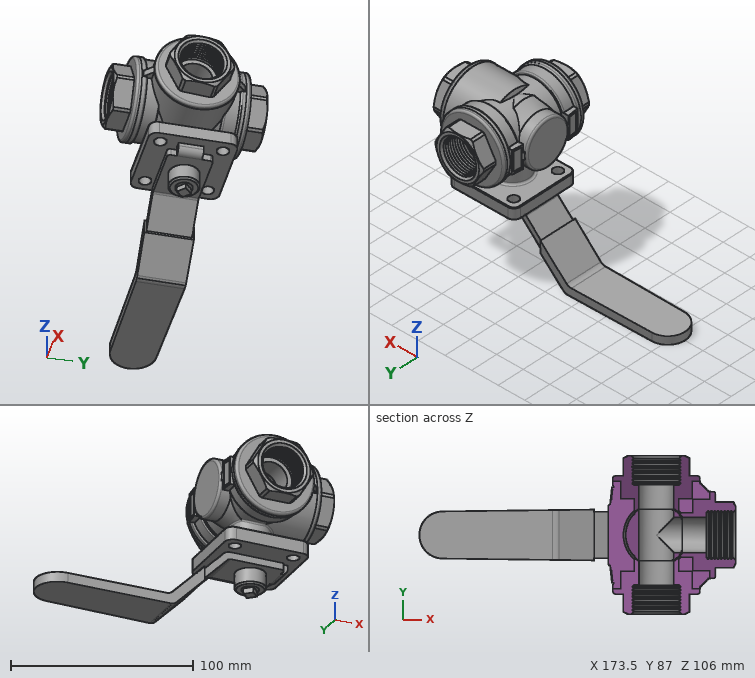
import cadquery as cq
import math


port_angles = (0, 90, -90)
port_reach = 43.5
flange_radius = 24.0
cap_seat = 29.5
cap_flange_end = 32.5
cap_flange_round = 1.5
branch_cap_twist = -4.2
hex_across_flats = 32.5
hex_turned_radius = 18.2
hex_face_radius = 15.9
hex_chamfer_length = 1.3
spigot_radius = 19.5
spigot_start = 20.0
nose_radius = 12.0
flow_radius = 9.5
thread_minor_radius = 12.25
thread_major_radius = 13.25
thread_mouth_radius = 13.8
thread_pitch = 1.814
thread_turns = 8

barrel_radius = 21.0
collar_radius = 23.0
collar_start = 18.0
collar_round = 0.9
body_flange_start = 26.3
body_flange_round = 1.1
branch_radius = 23.85
branch_start = -1.5
branch_slope = 1.2
boss_radius = 17.0
boss_face = -26.5
boss_round = 1.5
boss_cone_start = -18.4
boss_cone_end = -8.6
boss_root_radius = 20.85
web_thickness = 4.0
web_inner = 18.0
web_low = 23.7
web_high = 28.9
label_height = 16.8
label_outer_x = -24.1
label_inner_x = -25.3
label_panel_height = 14.0
label_panel_margin = 1.3
label_panel_depth = 0.4
label_root_x = -18.0
label_link_height = 5.0
label_link_end = 15.5

neck_radius = 12.0
neck_foot_fillet = 1.5
neck_root_fillet = 1.0
pad_size = 50.0
pad_top = -32.9
pad_bottom = -41.0
pad_corner_radius = 4.8
pad_edge_chamfer = 0.5
bolt_circle_diameter = 50.0
bolt_hole_diameter = 7.0
bolt_count = 4

ball_radius = 17.0
ball_clearance = 1.0
stem_radius = 6.5
stem_thread_radius = 4.9
stem_top = -14.0
stem_square = 5.85
stem_tip = -59.7

nut_radius = 8.75
nut_bottom = -56.4
nut_chamfer = 1.0

lever_top = -42.8
lever_thickness = 4.2
lever_bottom = lever_top - lever_thickness
lever_width = 25.7
lever_front = 15.0
lever_corner_radius = 1.8
lever_bend_x = -20.6
lever_bend_radius = 2.0
stop_thickness = lever_thickness
stop_left = -7.7
stop_right = 6.5
stop_bend_radius = 4.0
grip_thickness = 6.0
grip_cover = (grip_thickness - lever_thickness) / 2
grip_bottom = -82.0
grip_top = grip_bottom + grip_thickness
grip_mouth = -34.2
grip_mouth_width = 28.0
grip_tip = -130.0
grip_tip_radius = 13.0
grip_bend_radius = 5.0


def revolve_about_x(profile):
    """Full turn about X of a workplane outline drawn as (x, radius)."""
    return profile.close().revolve(360, (0, 0, 0), (1, 0, 0))


def rod(radius, start, end):
    """Cylinder along X."""
    return cq.Workplane("YZ").workplane(offset=start).circle(radius).extrude(end - start)


def post(radius, bottom, top):
    """Cylinder along Z."""
    return cq.Workplane("XY").workplane(offset=bottom).circle(radius).extrude(top - bottom)


def turned_to(shape, angle):
    return shape.rotate((0, 0, 0), (0, 0, 1), angle)


ball_space = cq.Workplane("XY").sphere(ball_radius)


def make_cap():
    """Cap on the +X port: flange, hex, spigot, seat nose and threaded mouth."""
    flange = rod(flange_radius, cap_seat, cap_flange_end).faces(">X").edges().fillet(cap_flange_round)
    hexagon = (
        cq.Workplane("YZ").workplane(offset=cap_flange_end)
        .polygon(6, hex_across_flats / math.cos(math.pi / 6))
        .extrude(port_reach - cap_flange_end)
    )
    turned = revolve_about_x(
        cq.Workplane("XY").moveTo(cap_flange_end, 0)
        .lineTo(cap_flange_end, hex_turned_radius)
        .lineTo(port_reach - hex_chamfer_length, hex_turned_radius)
        .lineTo(port_reach, hex_face_radius)
        .lineTo(port_reach, 0)
    )
    cap = flange.union(hexagon.intersect(turned))
    return cap.cut(rod(flow_radius, cap_seat, port_reach)).union(make_insert()).cut(thread_bore())


def make_insert():
    """Spigot and nose inside the body; the nose ends in a seat that fits the ball."""
    def ball_x(radius):
        return math.sqrt(ball_radius**2 - radius**2)

    return revolve_about_x(
        cq.Workplane("XY").moveTo(cap_seat, flow_radius)
        .lineTo(cap_seat, spigot_radius)
        .lineTo(spigot_start, spigot_radius)
        .lineTo(spigot_start, nose_radius)
        .lineTo(ball_x(nose_radius), nose_radius)
        .radiusArc((ball_x(flow_radius), flow_radius), ball_radius)
    )


def thread_bore():
    """Threaded mouth with ring-shaped V grooves and a countersunk entry."""
    entry = thread_mouth_radius - thread_minor_radius
    bottom = port_reach - entry - thread_turns * thread_pitch
    outline = cq.Workplane("XY").moveTo(bottom, 0).lineTo(bottom, thread_minor_radius)
    for turn in range(thread_turns):
        root = bottom + (turn + 0.5) * thread_pitch
        outline = outline.lineTo(root, thread_major_radius)
        outline = outline.lineTo(root + thread_pitch / 2, thread_minor_radius)
    outline = outline.lineTo(port_reach, thread_mouth_radius).lineTo(port_reach, 0)
    return revolve_about_x(outline)


def make_side_port():
    """Collar and flange that carry one of the Y caps, drawn along +X."""
    collar = rod(collar_radius, collar_start, cap_seat).faces("<X").edges().fillet(collar_round)
    flange = (
        rod(flange_radius, body_flange_start, cap_seat)
        .faces("<X").edges().fillet(body_flange_round)
    )
    return rod(barrel_radius, 0, cap_seat).union(collar).union(flange)


def make_branch():
    """Wide branch of the +X port, sloped where it rises out of the barrel."""
    return revolve_about_x(
        cq.Workplane("XY").moveTo(branch_start - branch_slope, 0)
        .lineTo(branch_start - branch_slope, boss_root_radius)
        .lineTo(branch_start, branch_radius)
        .lineTo(cap_seat, branch_radius)
        .lineTo(cap_seat, 0)
    )


def make_boss():
    """Closed boss on the -X side, widening toward the barrel."""
    return revolve_about_x(
        cq.Workplane("XY").moveTo(boss_face, 0)
        .lineTo(boss_face, boss_radius - boss_round)
        .radiusArc((boss_face + boss_round, boss_radius), boss_round)
        .lineTo(boss_cone_start, boss_radius)
        .lineTo(boss_cone_end, boss_root_radius)
        .lineTo(0, boss_root_radius)
        .lineTo(0, 0)
    )


def upright_plate(points, height):
    """XY outline extruded evenly to both sides of Z = 0."""
    return cq.Workplane("XY").polyline(points).close().extrude(height / 2, both=True)


def make_web():
    """Web in the corner between the +X and +Y flanges."""
    return upright_plate(
        [(web_inner, web_inner), (web_low, web_high), (web_high, web_low)], web_thickness
    )


def make_label():
    """Slanted label pad beside the boss on the +Y side, linked to the boss by a short rib."""
    slope = (label_inner_x - label_outer_x) / (cap_seat - collar_start)

    def face_x(y):
        return label_outer_x + slope * (cap_seat - y)

    def slab(y_from, y_to, depth_from, depth_to, height):
        points = [
            (face_x(y_from) + depth_from, y_from),
            (face_x(y_to) + depth_from, y_to),
            (face_x(y_to) + depth_to, y_to),
            (face_x(y_from) + depth_to, y_from),
        ]
        return upright_plate(points, height)

    pad_depth = label_root_x - label_outer_x
    pad = slab(body_flange_start, collar_start, 0, pad_depth, label_height)
    link = slab(collar_start, label_link_end, 0, pad_depth, label_link_height)
    panel = slab(
        body_flange_start - label_panel_margin, collar_start + label_panel_margin,
        -label_panel_depth, label_panel_depth, label_panel_height,
    )
    return pad.union(link).cut(panel)


def make_stem_pad():
    """Square bolting pad with four holes, and the neck that carries it."""
    pad = (
        cq.Workplane("XY").workplane(offset=pad_bottom)
        .rect(pad_size, pad_size).extrude(pad_top - pad_bottom)
        .edges("|Z").fillet(pad_corner_radius)
        .faces(">Z").edges().chamfer(pad_edge_chamfer)
    )
    holes = (
        cq.Workplane("XY").workplane(offset=pad_bottom)
        .polarArray(bolt_circle_diameter / 2, 180 / bolt_count, 360, bolt_count)
        .circle(bolt_hole_diameter / 2).extrude(pad_top - pad_bottom)
    )
    neck = post(neck_radius, pad_top, 0)
    largest_circle = cq.selectors.RadiusNthSelector(-1)
    foot = pad.union(neck).faces("|Z").edges("%CIRCLE").edges(largest_circle)
    return foot.fillet(neck_foot_fillet).cut(holes)


def neck_root_zone():
    """Selector for the seam where the neck meets the barrel, branch and boss."""
    reach = neck_radius + neck_root_fillet
    return cq.selectors.BoxSelector((-reach, -reach, -flange_radius), (reach, reach, -boss_radius), True)


def make_body():
    body = make_branch().union(make_boss())
    for angle in (90, -90):
        body = body.union(turned_to(make_side_port(), angle))
    web = make_web()
    label = make_label()
    for feature in (web, label):
        body = body.union(feature).union(feature.mirror("XZ"))
    body = body.union(make_stem_pad())
    body = body.edges(neck_root_zone()).fillet(neck_root_fillet)
    body = body.cut(cq.Workplane("XY").sphere(ball_radius + ball_clearance))
    for angle in port_angles:
        body = body.cut(turned_to(rod(nose_radius, 0, spigot_start), angle))
        body = body.cut(turned_to(rod(spigot_radius, spigot_start, cap_seat), angle))
    return body.cut(post(stem_radius, pad_bottom, 0))


def make_ball():
    """Ball with a straight bore along Y and a side bore toward +X."""
    through = turned_to(rod(flow_radius, -ball_radius, ball_radius), 90)
    return ball_space.cut(through).cut(rod(flow_radius, 0, ball_radius))


def make_stem():
    """Stem from the ball down through lever and nut, ending in a square set cornerwise."""
    square = (
        cq.Workplane("XY").workplane(offset=stem_tip)
        .polygon(4, stem_square * math.sqrt(2)).extrude(nut_bottom - stem_tip)
    )
    stem = post(stem_radius, lever_top, stem_top).cut(ball_space)
    return stem.union(post(stem_thread_radius, nut_bottom, lever_top)).union(square)


def make_nut():
    nut = post(nut_radius, nut_bottom, lever_bottom).faces("<Z").edges().chamfer(nut_chamfer)
    return nut.cut(post(stem_thread_radius, nut_bottom, lever_bottom))


lever_drop = lever_top - lever_bend_x
lever_low_drop = lever_drop - lever_thickness * math.sqrt(2)
grip_drop = lever_drop + grip_cover * math.sqrt(2)
grip_low_drop = grip_drop - grip_thickness * math.sqrt(2)
tang_top = grip_top - grip_cover
tang_end = grip_tip + grip_cover
tang_bottom = tang_top - lever_thickness


def side_plate(points, width):
    """XZ outline extruded evenly to both sides of Y = 0."""
    return cq.Workplane("XZ").polyline(points).close().extrude(width / 2, both=True)


def bend_edge(x, z):
    """Selector for the Y-parallel edge nearest to (x, z)."""
    return cq.selectors.NearestToPointSelector((x, 0, z))


def round_ended_plan(tip_radius, mouth_width):
    """Upright block whose plan tapers from the grip mouth to a round tip."""
    tip_centre = grip_tip + grip_tip_radius
    return (
        cq.Workplane("XY").workplane(offset=grip_bottom)
        .moveTo(grip_mouth, -mouth_width / 2)
        .lineTo(grip_mouth, mouth_width / 2)
        .lineTo(tip_centre, tip_radius)
        .threePointArc((tip_centre - tip_radius, 0), (tip_centre, -tip_radius))
        .close().extrude(-grip_bottom)
    )


def make_lever():
    """Flat bar cranked down at 45 degrees, with a round-ended tang inside the grip and a bent-up stop."""
    upper_low_x = lever_bottom - lever_low_drop
    bar = side_plate(
        [
            (lever_front, lever_top),
            (lever_bend_x, lever_top),
            (tang_top - lever_drop, tang_top),
            (tang_end, tang_top),
            (tang_end, tang_bottom),
            (tang_bottom - lever_low_drop, tang_bottom),
            (upper_low_x, lever_bottom),
            (lever_front, lever_bottom),
        ],
        lever_width,
    )
    bar = bar.edges(bend_edge(lever_bend_x, lever_top)).fillet(lever_bend_radius + lever_thickness)
    bar = bar.edges(bend_edge(upper_low_x, lever_bottom)).fillet(lever_bend_radius)
    tang_tip_radius = grip_tip_radius - grip_cover
    straight = (
        cq.Workplane("XY").workplane(offset=grip_bottom)
        .moveTo((grip_mouth + lever_front) / 2, 0).rect(lever_front - grip_mouth, lever_width)
        .extrude(-grip_bottom)
        .edges("|Z and >X").fillet(lever_corner_radius)
    )
    bar = bar.intersect(straight.union(round_ended_plan(tang_tip_radius, lever_width)))
    stop = (
        cq.Workplane("XY")
        .box(stop_thickness, stop_right - stop_left, pad_bottom - lever_bottom, centered=False)
        .translate((lever_front, stop_left, lever_bottom))
        .edges("|Y and >X and <Z").fillet(stop_bend_radius)
    )
    return bar.union(stop).cut(post(stem_thread_radius, lever_bottom, lever_top))


def make_grip(lever):
    """Round-ended sleeve, slightly wider at its mouth, moulded around the tang."""
    top_corner_x = grip_top - grip_drop
    bottom_corner_x = grip_bottom - grip_low_drop
    bar = side_plate(
        [
            (grip_mouth, grip_mouth + grip_drop),
            (top_corner_x, grip_top),
            (grip_tip, grip_top),
            (grip_tip, grip_bottom),
            (bottom_corner_x, grip_bottom),
            (grip_mouth, grip_mouth + grip_low_drop),
        ],
        grip_mouth_width,
    )
    bar = bar.edges(bend_edge(top_corner_x, grip_top)).fillet(grip_bend_radius)
    bar = bar.edges(bend_edge(bottom_corner_x, grip_bottom)).fillet(grip_bend_radius)
    return bar.intersect(round_ended_plan(grip_tip_radius, grip_mouth_width)).cut(lever)


body = make_body()
cap = make_cap()
caps = [turned_to(cap, angle) for angle in port_angles]
caps[0] = cap.rotate((0, 0, 0), (1, 0, 0), branch_cap_twist)
lever = make_lever()
grip = make_grip(lever)

result = cq.Compound.makeCompound(
    [
        body.val(),
        *[end_cap.val() for end_cap in caps],
        make_ball().val(),
        make_stem().val(),
        make_nut().val(),
        lever.val(),
        grip.val(),
    ]
)